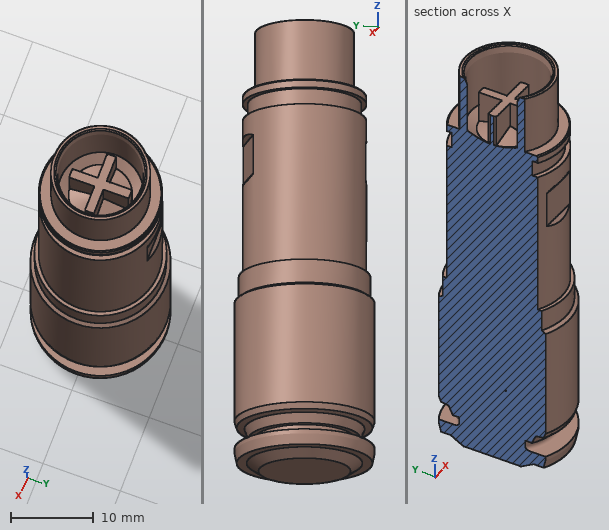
import cadquery as cq

height = 55.25

base_face_radius = 5.6
base_dome_radius = 7.0
ring_bottom_radius = 8.25
body_radius = 8.5
ring_bottom_z = 1.0
ring_taper_top_z = 2.25
ring_top_z = 2.8

neck_radius = 6.1
neck_fillet = 0.5
neck_top_z = 4.1

collar_bottom_radius = 6.8
collar_top_radius = 7.3
collar_top_z = 5.3

body_chamfer_radius = 8.25
body_lip_z = 5.45
body_bottom_z = 6.25
body_top_z = 21.15
body_top_chamfer = 0.35
shoulder_radius = 8.0
shoulder_top_z = 24.4
barrel_radius = 7.5
barrel_top_z = 44.2

groove_radius = 6.9
flange_bottom_z = 46.3
flange_top_z = 47.35
flange_chamfer = 0.15
tube_radius = 6.0

rim_radius = 5.65
lead_in_radius = 5.4
lead_in_depth = 0.1
bore_radius = 5.2
bore_taper_depth = 0.95
bore_depth = 7.75
floor_radius = 3.85
floor_depth = 8.5
floor_peak_rise = 1.15

cross_width = 1.15
cross_top_depth = 4.2
cross_root = 1.1

flat_distance = 7.0
flat_bottom_z = 36.35
flat_top_z = 41.25


def make_shell():
    """Revolve the outer outline together with the bore outline."""
    outline = (
        cq.Workplane("XZ")
        .moveTo(0, 0)
        .lineTo(base_face_radius, 0)
        .lineTo(base_dome_radius, ring_bottom_z)
        .lineTo(ring_bottom_radius, ring_bottom_z)
        .lineTo(body_radius, ring_taper_top_z)
        .lineTo(body_radius, ring_top_z)
        .lineTo(neck_radius + neck_fillet, ring_top_z)
        .radiusArc((neck_radius, ring_top_z + neck_fillet), neck_fillet)
        .lineTo(neck_radius, neck_top_z)
        .lineTo(collar_bottom_radius, neck_top_z)
        .lineTo(collar_top_radius, collar_top_z)
        .lineTo(body_chamfer_radius, body_lip_z)
        .lineTo(body_radius, body_bottom_z)
        .lineTo(body_radius, body_top_z)
        .lineTo(shoulder_radius, body_top_z + body_top_chamfer)
        .lineTo(shoulder_radius, shoulder_top_z)
        .lineTo(barrel_radius, shoulder_top_z)
        .lineTo(barrel_radius, barrel_top_z)
        .lineTo(groove_radius, barrel_top_z)
        .lineTo(groove_radius, flange_bottom_z)
        .lineTo(barrel_radius, flange_bottom_z)
        .lineTo(barrel_radius, flange_top_z - flange_chamfer)
        .lineTo(barrel_radius - flange_chamfer, flange_top_z)
        .lineTo(tube_radius, flange_top_z)
        .lineTo(tube_radius, height)
        .lineTo(rim_radius, height)
        .lineTo(lead_in_radius, height - lead_in_depth)
        .lineTo(bore_radius, height - bore_taper_depth)
        .lineTo(bore_radius, height - bore_depth)
        .lineTo(floor_radius, height - floor_depth)
        .lineTo(0, height - floor_depth + floor_peak_rise)
        .close()
    )
    return outline.revolve(360, (0, 0, 0), (0, 1, 0))


def make_cross():
    """Two crossing bars with rounded ends, rooted below the bore floor."""
    bottom_z = height - floor_depth - cross_root
    bar_height = height - cross_top_depth - bottom_z
    plane = cq.Workplane("XY").workplane(offset=bottom_z)
    bar_along_x = plane.rect(2 * tube_radius, cross_width).extrude(bar_height)
    bar_along_y = plane.rect(cross_width, 2 * tube_radius).extrude(bar_height)
    envelope = plane.circle(floor_radius).extrude(bar_height)
    return bar_along_x.union(bar_along_y).intersect(envelope)


def make_flat_cutter(side):
    """Cutter for one flat with 45 degree end ramps; side is -1 or +1 along Y."""
    overshoot = 1.1
    reach = barrel_radius - flat_distance + overshoot
    return (
        cq.Workplane("YZ")
        .polyline([
            (side * flat_distance, flat_bottom_z),
            (side * (flat_distance + reach), flat_bottom_z - reach),
            (side * (flat_distance + reach), flat_top_z + reach),
            (side * flat_distance, flat_top_z),
        ])
        .close()
        .extrude(barrel_radius, both=True)
    )


result = make_shell().union(make_cross())
for side in (-1, 1):
    result = result.cut(make_flat_cutter(side))